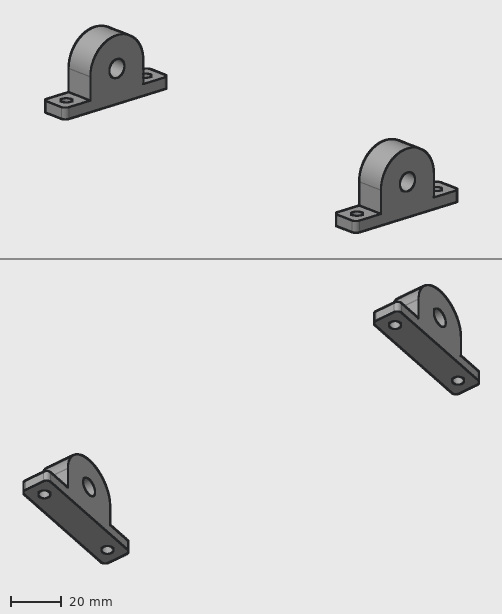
import cadquery as cq

overall_length = 185.0
block_width = 13.0
block_spacing = overall_length - block_width

foot_length = 55.0
foot_thickness = 5.0
foot_corner_radius = 2.0
screw_hole_diameter = 4.8
screw_hole_spacing = 41.8

block_height = 29.0
hub_width = 28.1
hub_radius = hub_width / 2
bore_height = block_height - hub_radius
bore_diameter = 8.0


def make_foot():
    """Flat foot on Z = 0 with rounded vertical corners."""
    return (
        cq.Workplane("XY")
        .box(block_width, foot_length, foot_thickness, centered=(True, True, False))
        .edges("|Z")
        .fillet(foot_corner_radius)
    )


def make_hub():
    """Upright hub whose semicircular top is concentric with the bore."""
    return (
        cq.Workplane("YZ")
        .moveTo(-hub_radius, 0)
        .lineTo(hub_radius, 0)
        .lineTo(hub_radius, bore_height)
        .threePointArc((0, block_height), (-hub_radius, bore_height))
        .close()
        .extrude(block_width / 2, both=True)
    )


def make_bore():
    """Cutter for the shaft bore along X."""
    return (
        cq.Workplane("YZ")
        .center(0, bore_height)
        .circle(bore_diameter / 2)
        .extrude(block_width, both=True)
    )


def make_screw_holes():
    """Cutter for the two vertical screw holes in the foot."""
    return (
        cq.Workplane("XY")
        .rarray(1.8, screw_hole_spacing, 1, 2)
        .circle(screw_hole_diameter / 2)
        .extrude(foot_thickness)
    )


def make_bearing_block(x_position):
    """One bearing block, centred on x_position."""
    block = make_foot().union(make_hub())
    block = block.cut(make_bore()).cut(make_screw_holes())
    return block.translate((x_position, 0, 0))


bearing_blocks = []
for side in (-1, 1):
    bearing_blocks.append(make_bearing_block(side * block_spacing / 2))

result = cq.Compound.makeCompound([block.solids().val() for block in bearing_blocks])